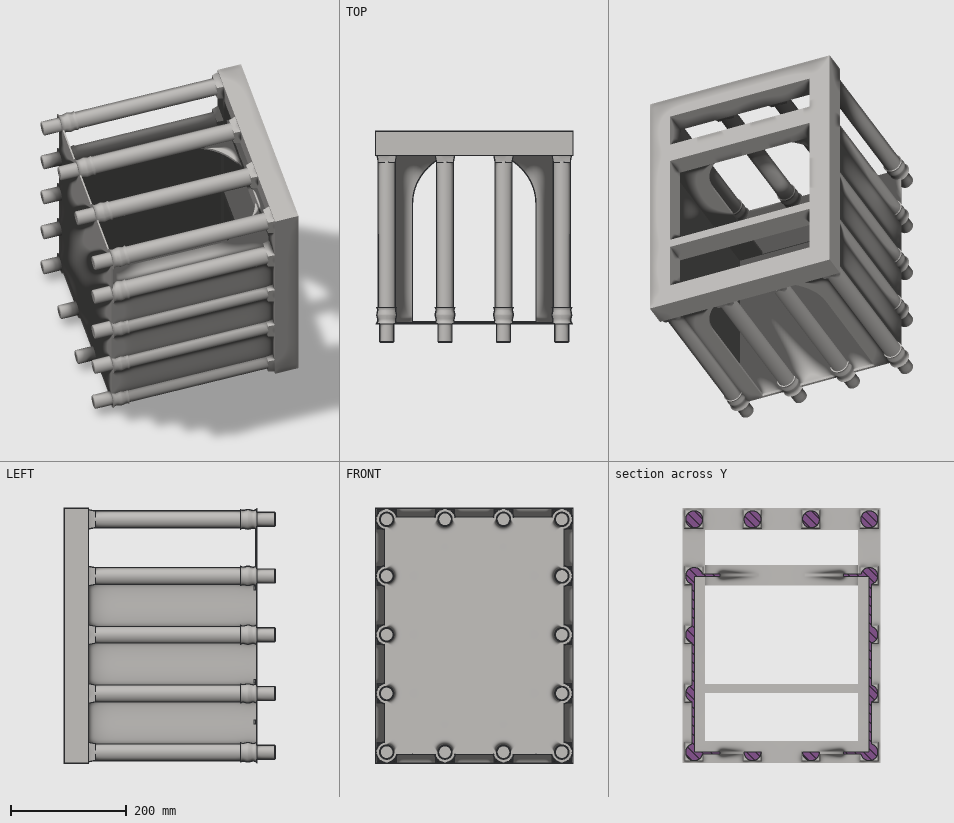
import cadquery as cq

WIDTH = 342.0
DEPTH = 365.5
HEIGHT = 442.0

FRAME_DEPTH = 42.5
FRAME_BAR = 38.5
CROSSBAR_RISE = 18.5
CROSSBAR_HEIGHT = 35.5
CROSSBAR_RECESS = 4.5
LOW_CROSSBAR_TOP = -84.0
LOW_CROSSBAR_HEIGHT = 15.5

CORNER_INSET = 19.5
COLUMN_PITCH_X = 101.0
COLUMN_PITCH_Z = 101.5
SIDE_ROWS = 4

SHAFT_RADIUS = 15.0
CAPITAL_WIDE = 33.5
CAPITAL_NARROW = 29.0
CAPITAL_LENGTH = 11.5
BASE_LENGTH = 28.7
BEAD_RADIUS = 17.2
WAIST_RADIUS = 16.5
FOOT_RADIUS = 18.5
BEAD_STEP = 4.5
PIN_RADIUS = 12.5
PIN_LENGTH = 32.0
PIN_CHAMFER = 1.5

PLATE_INSET = 15.5
PLATE_THICKNESS = 2.5
WALL_THICKNESS = 5.0
WALL_RISE = 3.5

ARCH_HALF_WIDTH = 106.5
ARCH_SILL = 1.8
ARCH_SPRING_HEIGHT = 205.0
ARCH_RISE = 93.0

KEY_HEIGHT = 6.0
KEY_LENGTH = 2.0
KEY_POSITIONS = (82.5, -78.5, -149.5)

frame_back = DEPTH / 2
frame_front = frame_back - FRAME_DEPTH
crossbar_front = frame_front + CROSSBAR_RECESS
window_half_width = WIDTH / 2 - FRAME_BAR
pin_end = -DEPTH / 2
foot_y = pin_end + PIN_LENGTH
floor_y = foot_y + PLATE_THICKNESS
corner_x = WIDTH / 2 - CORNER_INSET
corner_z = HEIGHT / 2 - CORNER_INSET
side_rows_z = [-corner_z + row * COLUMN_PITCH_Z for row in range(SIDE_ROWS)]
second_row_z = side_rows_z[-1]
outer_x = WIDTH / 2 - PLATE_INSET
outer_z = HEIGHT / 2 - PLATE_INSET
cella_top = second_row_z + WALL_RISE


def block(x_range, y_range, z_range):
    """A box between the given limits."""
    sizes = [high - low for low, high in (x_range, y_range, z_range)]
    corner = [low for low, _ in (x_range, y_range, z_range)]
    return cq.Workplane("XY").box(*sizes, centered=False).translate(tuple(corner))


def make_frame():
    """The roof frame: a rectangular ring with two crossbars."""
    y_range = (frame_front, frame_back)
    inner_x = window_half_width
    inner_z = HEIGHT / 2 - FRAME_BAR
    ring = block((-WIDTH / 2, WIDTH / 2), y_range, (-HEIGHT / 2, HEIGHT / 2))
    ring = ring.cut(block((-inner_x, inner_x), y_range, (-inner_z, inner_z)))
    high_top = second_row_z + CROSSBAR_RISE
    high_bar = block(
        (-inner_x, inner_x), (crossbar_front, frame_back), (high_top - CROSSBAR_HEIGHT, high_top)
    )
    low_bar = block(
        (-inner_x, inner_x), y_range, (LOW_CROSSBAR_TOP - LOW_CROSSBAR_HEIGHT, LOW_CROSSBAR_TOP)
    )
    return ring.union(high_bar).union(low_bar)


def make_column():
    """One column on the Y axis: pin, beaded base, shaft and tapered square capital."""
    base_top = foot_y + BASE_LENGTH
    beads = [
        (base_top - 4 * BEAD_STEP, WAIST_RADIUS),
        (base_top - 3 * BEAD_STEP, BEAD_RADIUS),
        (base_top - 2 * BEAD_STEP, WAIST_RADIUS),
        (base_top, BEAD_RADIUS),
    ]
    turned = (
        cq.Workplane("YZ")
        .moveTo(pin_end, 0)
        .lineTo(pin_end, PIN_RADIUS - PIN_CHAMFER)
        .lineTo(pin_end + PIN_CHAMFER, PIN_RADIUS)
        .lineTo(foot_y, PIN_RADIUS)
        .lineTo(foot_y, FOOT_RADIUS)
        .spline(beads, includeCurrent=True)
        .lineTo(base_top, SHAFT_RADIUS)
        .lineTo(frame_front, SHAFT_RADIUS)
        .lineTo(frame_front, 0)
        .close()
        .revolve(360, (0, 0, 0), (1, 0, 0))
    )
    capital = (
        cq.Workplane("XZ", origin=(0, frame_front, 0))
        .rect(CAPITAL_WIDE, CAPITAL_WIDE)
        .workplane(offset=CAPITAL_LENGTH)
        .rect(CAPITAL_NARROW, CAPITAL_NARROW)
        .loft()
    )
    return turned.union(capital)


def column_places():
    """X and Z of every column axis around the edge of the temple."""
    inner_x = COLUMN_PITCH_X / 2
    places = [(x, z) for x in (-inner_x, inner_x) for z in (-corner_z, corner_z)]
    for z in side_rows_z + [corner_z]:
        places += [(-corner_x, z), (corner_x, z)]
    return places


def make_archway():
    """The arched passage through both cross walls of the cella, along Z."""
    sill_y = floor_y + ARCH_SILL
    spring_y = sill_y + ARCH_SPRING_HEIGHT
    straight = block((-ARCH_HALF_WIDTH, ARCH_HALF_WIDTH), (sill_y, spring_y), (-outer_z, cella_top))
    vault = (
        cq.Workplane("XY", origin=(0, spring_y, -outer_z))
        .ellipse(ARCH_HALF_WIDTH, ARCH_RISE)
        .extrude(cella_top + outer_z)
    )
    return straight.union(vault)


def make_temple():
    """Floor plate, cella walls and engaged columns in one piece."""
    walls = block((-outer_x, outer_x), (floor_y, frame_front), (-outer_z, cella_top))
    crown = block(
        (-window_half_width, window_half_width),
        (frame_front, crossbar_front),
        (cella_top - WALL_THICKNESS, cella_top),
    )
    temple = walls.union(crown).cut(make_archway())
    temple = temple.union(block((-outer_x, outer_x), (foot_y, floor_y), (-outer_z, outer_z)))
    column = make_column()
    for x, z in column_places():
        temple = temple.union(column.translate((x, 0, z)))
    inner_x = outer_x - WALL_THICKNESS
    cella = block(
        (-inner_x, inner_x),
        (floor_y, frame_front),
        (-outer_z + WALL_THICKNESS, cella_top - WALL_THICKNESS),
    )
    return temple.cut(cella)


def make_key(z):
    """A small key filling the thickness of the -X wall, centred at height z."""
    return block(
        (-outer_x, -outer_x + WALL_THICKNESS),
        (floor_y, floor_y + KEY_LENGTH),
        (z - KEY_HEIGHT / 2, z + KEY_HEIGHT / 2),
    )


frame = make_frame()
keys = [make_key(z) for z in KEY_POSITIONS]
temple = make_temple()
for key in keys:
    temple = temple.cut(key)

result = cq.Compound.makeCompound([frame.val(), *temple.solids().vals(), *[key.val() for key in keys]])